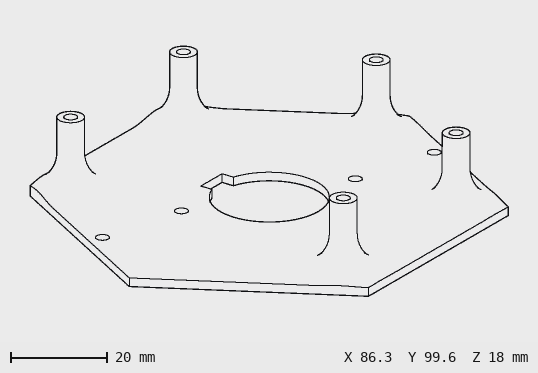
import cadquery as cq
import math

hex_diameter = 99.6
plate_thickness = 2.0
total_height = 18.0

bore_diameter = 24.9
slot_reach = 14.7
slot_width = 7.6

post_diameter = 5.8
hole_diameter = 2.9
flare_radius = 8.0
post_pattern_radius = 40.2
post_pattern_x = -1.5
post_angles = [30, 90, 150, 210, 330]

hole_midpoint = (-0.8, 0.8)
hole_offsets = [(10.0, 17.0), (15.5, 37.4)]


def flared_post(x, y):
    """Solid standoff whose base sweeps out tangent to the plate."""
    post_radius = post_diameter / 2
    flare_top = plate_thickness + flare_radius
    flare_outer = post_radius + flare_radius
    arc_inset = flare_radius * math.sqrt(0.5)
    profile = (
        cq.Workplane("XZ")
        .lineTo(flare_outer, 0)
        .lineTo(flare_outer, plate_thickness)
        .threePointArc((flare_outer - arc_inset, flare_top - arc_inset), (post_radius, flare_top))
        .lineTo(post_radius, total_height)
        .lineTo(0, total_height)
        .close()
    )
    return profile.revolve(360, (0, 0, 0), (0, 1, 0)).translate((x, y, 0))


def hexagon(height):
    return cq.Workplane("XY").polygon(6, hex_diameter).extrude(height).rotate((0, 0, 0), (0, 0, 1), 90)


post_points = [
    (
        post_pattern_x + post_pattern_radius * math.cos(math.radians(angle)),
        post_pattern_radius * math.sin(math.radians(angle)),
    )
    for angle in post_angles
]
plate_hole_points = [
    (hole_midpoint[0] + side * dx, hole_midpoint[1] + side * dy)
    for dx, dy in hole_offsets
    for side in (1, -1)
]

body = hexagon(plate_thickness)
for x, y in post_points:
    body = body.union(flared_post(x, y))
body = body.intersect(hexagon(total_height))

bore = cq.Workplane("XY").circle(bore_diameter / 2).extrude(plate_thickness)
slot = cq.Workplane("XY").center(-slot_reach / 2, 0).rect(slot_reach, slot_width).extrude(plate_thickness)

hole_points = post_points + plate_hole_points
holes = cq.Workplane("XY").pushPoints(hole_points).circle(hole_diameter / 2).extrude(total_height)

result = body.cut(bore).cut(slot).cut(holes)